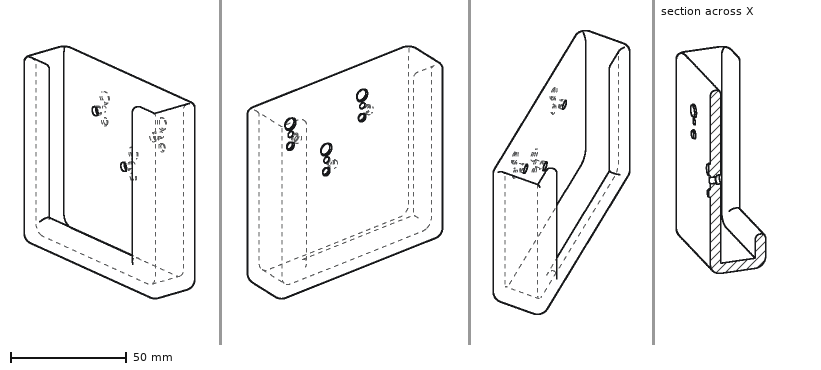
import cadquery as cq
import math

WIDTH = 93.2
HEIGHT = 86.9
PAD_HEIGHT = 0.7
DEPTH = 26.55 - PAD_HEIGHT
WALL = 5.0
OUTER_RADIUS = WALL
CAVITY_CORNER_RADIUS = WALL
LIP_RADIUS = 2.4

FRAME_WIDTH = 16.1
WINDOW_HALF_WIDTH = WIDTH / 2 - FRAME_WIDTH

HOLE_DIAMETER = 2.8
COUNTERBORE_DIAMETER = 4.0
COUNTERBORE_DEPTH = 2.0
HOLE_SPACING = 19.9
LOWER_HOLE_Z = 44.5
UPPER_HOLE_Z = LOWER_HOLE_Z + HOLE_SPACING
HOLES = [(-HOLE_SPACING, UPPER_HOLE_Z), (HOLE_SPACING, UPPER_HOLE_Z), (0, LOWER_HOLE_Z)]

PADS = [(5.1, 5.9), (-6.0, 3.9)]
PAD_TAPER = 0.4


def outer_block():
    block = cq.Workplane("XY").box(WIDTH, DEPTH, HEIGHT, centered=(True, False, False))
    block = block.edges("|Z or <Z").fillet(OUTER_RADIUS)
    return block.faces(">Z").edges().fillet(LIP_RADIUS)


def flared_section(plane, low, high, floor_radius, length):
    """Pocket cross-section whose two sides curl outward at the top, extruded both ways."""
    curl_z = HEIGHT - LIP_RADIUS
    arc_inset = LIP_RADIUS * (1 - math.cos(math.pi / 4))
    section = (
        cq.Workplane(plane)
        .moveTo(low, WALL)
        .lineTo(high, WALL)
        .lineTo(high, curl_z)
        .threePointArc((high + arc_inset, HEIGHT - arc_inset), (high + LIP_RADIUS, HEIGHT))
        .lineTo(low - LIP_RADIUS, HEIGHT)
        .threePointArc((low - arc_inset, HEIGHT - arc_inset), (low, curl_z))
        .close()
        .extrude(length, both=True)
    )
    if floor_radius:
        section = section.faces("<Z").edges("|Y").fillet(floor_radius)
    return section


def cavity():
    """Pocket open at the top, its rounded rim mitred at the four corners."""
    half = WIDTH / 2 - WALL
    across = flared_section("XZ", -half, half, CAVITY_CORNER_RADIUS, WIDTH)
    along = flared_section("YZ", WALL, DEPTH - WALL, 0, WIDTH)
    return across.intersect(along)


def window():
    """Opening in the front wall, cut wide by the lip radius so rounded lips can fill its edge."""
    sill = FRAME_WIDTH - LIP_RADIUS
    return cq.Workplane("XY").box(
        2 * (WINDOW_HALF_WIDTH + LIP_RADIUS), WALL, HEIGHT, centered=(True, False, False)
    ).translate((0, 0, sill))


def window_lips():
    """Rounded bars along both sides and the bottom of the window, mitred where they meet."""
    bar_width = 2 * LIP_RADIUS
    bar_base = FRAME_WIDTH - bar_width
    rail = (
        cq.Workplane("XY")
        .box(bar_width, WALL, HEIGHT - bar_base, centered=False)
        .translate((WINDOW_HALF_WIDTH, 0, bar_base))
    )
    rail = rail.edges("(|Z and <X) or (>Z and (not >X))").fillet(LIP_RADIUS)
    sill = (
        cq.Workplane("XY")
        .box(2 * (WINDOW_HALF_WIDTH + LIP_RADIUS), WALL, bar_width, centered=(True, False, False))
        .translate((0, 0, bar_base))
        .edges("|X and >Z")
        .fillet(LIP_RADIUS)
    )
    return rail.union(rail.mirror("YZ")).union(sill)


def screw_hole(x, z):
    """Through hole in the back wall, counterbored from inside the pocket."""
    inner_face = DEPTH - WALL
    bore = cq.Solid.makeCylinder(
        COUNTERBORE_DIAMETER / 2, COUNTERBORE_DEPTH, cq.Vector(x, inner_face, z), cq.Vector(0, 1, 0)
    )
    shank = cq.Solid.makeCylinder(
        HOLE_DIAMETER / 2, WALL, cq.Vector(x, inner_face, z), cq.Vector(0, 1, 0)
    )
    return cq.Workplane(shank.fuse(bore))


def pad(x, z, diameter):
    cone = cq.Solid.makeCone(
        diameter / 2, diameter / 2 - PAD_TAPER, PAD_HEIGHT,
        cq.Vector(x, DEPTH, z), cq.Vector(0, 1, 0),
    )
    return cq.Workplane(cone)


result = outer_block().cut(cavity()).cut(window()).union(window_lips())
for hole_x, hole_z in HOLES:
    result = result.cut(screw_hole(hole_x, hole_z))
    for offset, pad_diameter in PADS:
        result = result.union(pad(hole_x, hole_z + offset, pad_diameter))
result = result.clean()